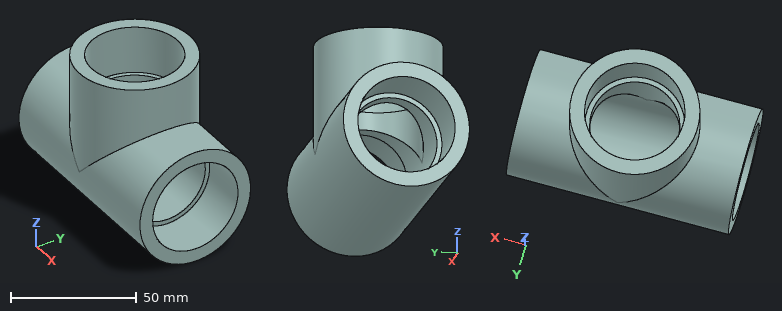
import cadquery as cq

run_length = 92.0
outer_diameter = 52.0
socket_diameter = 40.0
bore_diameter = 36.0
branch_height = 47.0
socket_depth = 21.5

half_run = run_length / 2


def cylinder(diameter, length, start, direction):
    """Solid cylinder from a start point along a direction."""
    return cq.Workplane(
        cq.Solid.makeCylinder(diameter / 2, length, cq.Vector(*start), cq.Vector(*direction))
    )


def tee(diameter):
    """Run and branch cylinders of one diameter, joined."""
    run = cylinder(diameter, run_length, (-half_run, 0, 0), (1, 0, 0))
    branch = cylinder(diameter, branch_height, (0, 0, 0), (0, 0, 1))
    return run.union(branch)


open_ends = [
    ((-half_run, 0, 0), (1, 0, 0)),
    ((half_run, 0, 0), (-1, 0, 0)),
    ((0, 0, branch_height), (0, 0, -1)),
]

result = tee(outer_diameter).cut(tee(bore_diameter))
for face_centre, inward in open_ends:
    result = result.cut(cylinder(socket_diameter, socket_depth, face_centre, inward))